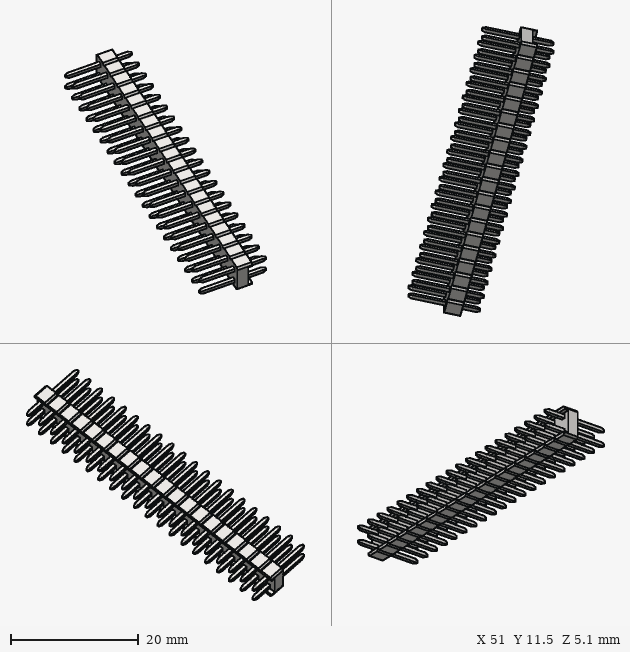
import cadquery as cq

columns = 20
rows = 2
pitch = 2.55
housing_length = columns * pitch
housing_height = rows * pitch
housing_depth = 2.6

groove_half_width = 0.3
groove_depth = 0.38

lip_thickness = 0.6
channel_depth = 0.7

pin_half_width = 0.32
pin_width = 2 * pin_half_width
tip_width = 0.33
tip_length = 0.55
pin_length = 11.5
front_pin_length = 6.0

housing_front = front_pin_length - pin_length / 2
housing_back = housing_front + housing_depth


def centred_places(count):
    """Positions of `count` items spaced by the pitch and centred on zero."""
    return [(i - (count - 1) / 2) * pitch for i in range(count)]


def make_segment():
    """One column of the housing: a block with its four long edges sloped off."""
    half_width = pitch / 2
    half_height = housing_height / 2
    flat_half_width = half_width - groove_half_width
    side_half_height = half_height - groove_depth
    outline = [
        (-flat_half_width, half_height),
        (flat_half_width, half_height),
        (half_width, side_half_height),
        (half_width, -side_half_height),
        (flat_half_width, -half_height),
        (-flat_half_width, -half_height),
        (-half_width, -side_half_height),
        (-half_width, side_half_height),
    ]
    return (
        cq.Workplane("XZ", origin=(0, housing_front, 0))
        .polyline(outline)
        .close()
        .extrude(-housing_depth)
    )


def make_housing():
    """Row of segments with the channel cut along the rear face."""
    segment = make_segment()
    housing = segment.translate((centred_places(columns)[0], 0, 0))
    for x in centred_places(columns)[1:]:
        housing = housing.union(segment.translate((x, 0, 0)))
    channel_height = housing_height - 2 * lip_thickness
    channel = cq.Workplane("XY").box(housing_length, 2 * channel_depth, channel_height)
    return housing.cut(channel.translate((0, housing_back, 0)))


def make_pin():
    """Square bar along Y, tapering to a smaller square at both ends."""
    shank_length = pin_length - 2 * tip_length
    shank = cq.Workplane("XZ").rect(pin_width, pin_width).extrude(shank_length / 2, both=True)
    tip = (
        cq.Workplane("XZ", origin=(0, -shank_length / 2, 0))
        .rect(pin_width, pin_width)
        .workplane(offset=tip_length)
        .rect(tip_width, tip_width)
        .loft(ruled=True)
    )
    return shank.union(tip).union(tip.mirror("XZ"))


pin = make_pin().val()
pins = [pin.translate((x, 0, z)) for x in centred_places(columns) for z in centred_places(rows)]
result = cq.Workplane("XY").newObject([make_housing().val().fuse(*pins)])